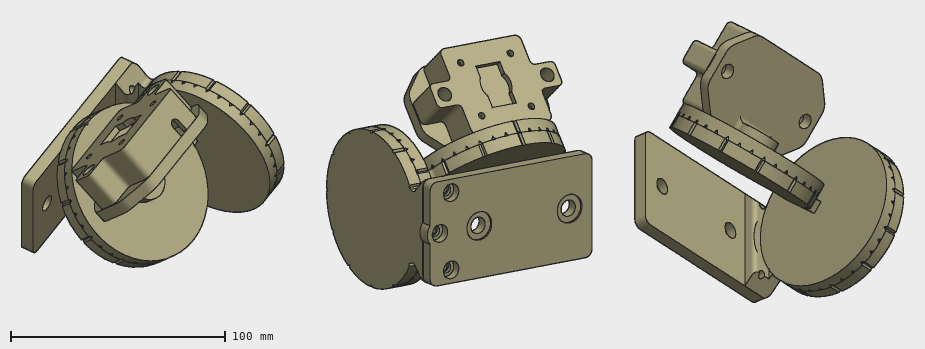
import cadquery as cq
import math


DISC_RADIUS = 38.0
DISC_THICKNESS = 6.4
GROOVE_STEP = 30
GROOVE_WIDTH = 2.0
GROOVE_DEPTH = 0.9
TICK_STEP = 10
TICK_WIDTH = 1.8
TICK_DEPTH = 0.5
TICK_LENGTH = 1.6

SELECT_MARGIN = 1.1

TILT = 40
UPPER_CENTRE = (-10.2, -50.5, 13.2)

PLATE_THICKNESS = 6.4
PLATE_X_BACK = -50.6
PLATE_X_FACE = PLATE_X_BACK + PLATE_THICKNESS
PLATE_HEIGHT = 50.8
PLATE_Y_MAX = 6.7
PLATE_Y_MIN = -83.9
PLATE_CORNER_RADIUS = 3.8
MOUNT_HOLES_Y = (-20.8, -71.3)
MOUNT_HOLE_RADIUS = 3.9
MOUNT_BORE_RADIUS = 6.9
MOUNT_BORE_DEPTH = 1.1

EAR_SCREW = (1.2, 0)
EAR_RADIUS = 7.1
SIDE_SCREWS = ((-5.0, 18.8), (-5.0, -18.8))
SCREW_HEAD_RADIUS = 4.3
SCREW_HEAD_DEPTH = 4.4
SCREW_CLEARANCE_RADIUS = 2.6
SCREW_TAP_RADIUS = 1.9
EAR_TAP_DEPTH = 3.7
DRILL_TIP_ANGLE = 118

FOOT_X_END = -38.0
FOOT_WIDTH_FRONT = 10.2
FOOT_CORNER_RADIUS = 3.1
FOOT_EDGE_RADIUS = 2.3
FOOT_BLEND_RADIUS = 2.5
DISC_CLEARANCE = 1.0
FLANK_OFFSET = PLATE_HEIGHT / 2 + PLATE_X_FACE
FLANK_RIM_X = (FLANK_OFFSET - math.sqrt(2 * DISC_RADIUS**2 - FLANK_OFFSET**2)) / 2

NECK_WIDTH = 22.7
NECK_BLEND_RADIUS = 3.0

HOUSING_FRONT_X = -29.6
HOUSING_BACK_X = -11.1
HOUSING_CENTRE_Y = -3.6
HOUSING_SIZE = 44.9
HOUSING_CENTRE_Z = DISC_THICKNESS + HOUSING_SIZE / 2
HOUSING_LENGTH = HOUSING_BACK_X - HOUSING_FRONT_X
HOUSING_WALL = 3.0
HOUSING_CORNER_RADIUS = 3.0
EARS_SPAN = 69.9
EARS_HEIGHT = 12.6
EARS_CORNER_RADIUS = 2.3
EAR_HOLE_SPACING = 57.4
EAR_HOLE_RADIUS = 3.5
FACE_HOLE_SPACING = 27.8
FACE_HOLE_RADIUS = 1.6
WINDOW_WIDTH = 13.4
WINDOW_HEIGHT = 21.8
WINDOW_ROUND_RADIUS = 8.2
CABLE_SLOT_WIDTH = 4.8
CABLE_SLOT_LENGTH = 8.3
CABLE_SLOT_OFFSET_Y = 9.9
BACK_PLATE_THICKNESS = 6.0
BACK_PLATE_SPAN = 71.0
BACK_PLATE_CHAMFER = 12.2
BACK_PLATE_CORNER_RADIUS = 8.0
BOSS_RADIUS = 10.0
BOSS_HEIGHT = 6.0
BOSS_BLEND_RADIUS = 2.2


def rim_notch(angle, width, depth, z_start, length):
    """V-shaped cutter along Z, of the given width and depth where it crosses the disc rim."""
    outer = DISC_RADIUS + depth
    return (
        cq.Workplane("XY", origin=(0, 0, z_start))
        .polyline([(outer, -width), (outer, width), (DISC_RADIUS - depth, 0)])
        .close()
        .extrude(length)
        .rotate((0, 0, 0), (0, 0, 1), angle)
    )


def rim_tick(angle):
    """Triangular cutter sunk into the rim, with its base on the seam and its tip above."""
    return (
        cq.Workplane("YZ", origin=(DISC_RADIUS - TICK_DEPTH, 0, 0))
        .polyline([(-TICK_WIDTH / 2, 0), (TICK_WIDTH / 2, 0), (0, TICK_LENGTH)])
        .close()
        .extrude(2 * TICK_DEPTH)
        .rotate((0, 0, 0), (0, 0, 1), angle)
    )


def index_disc():
    return cq.Workplane("XY").circle(DISC_RADIUS).extrude(-DISC_THICKNESS)


def cut_index_grooves(body, arm_angle):
    """Groove the rim at every step except where the foot or neck leaves the disc."""
    for angle in range(0, 360, GROOVE_STEP):
        if angle != arm_angle:
            groove = rim_notch(angle, GROOVE_WIDTH, GROOVE_DEPTH, -DISC_THICKNESS, DISC_THICKNESS)
            body = body.cut(groove)
    return body


def scale_disc(pointer_angle):
    body = cq.Workplane("XY").circle(DISC_RADIUS).extrude(DISC_THICKNESS)
    for angle in range(0, 360, TICK_STEP):
        body = body.cut(rim_tick(angle))
    return body.cut(rim_notch(pointer_angle, GROOVE_WIDTH, GROOVE_DEPTH, 0, DISC_THICKNESS))


def place_lower(body):
    """Turn a joint's local frame so that its axis points along -Y."""
    return body.rotate((0, 0, 0), (1, 0, 0), 90)


def place_upper(body):
    return body.rotate((0, 0, 0), (0, 1, 0), TILT).translate(UPPER_CENTRE)


def x_cylinder(x_start, y, z, radius, length):
    return cq.Workplane("YZ", origin=(x_start, y, z)).circle(radius).extrude(length)


def make_plate():
    plate = (
        cq.Workplane("XY")
        .box(PLATE_THICKNESS, PLATE_Y_MAX - PLATE_Y_MIN, PLATE_HEIGHT)
        .edges("|X")
        .fillet(PLATE_CORNER_RADIUS)
        .translate((PLATE_X_BACK + PLATE_THICKNESS / 2, (PLATE_Y_MAX + PLATE_Y_MIN) / 2, 0))
    )
    plate = plate.union(x_cylinder(PLATE_X_BACK, *EAR_SCREW, EAR_RADIUS, PLATE_THICKNESS))
    for y in MOUNT_HOLES_Y:
        plate = plate.cut(x_cylinder(PLATE_X_BACK, y, 0, MOUNT_HOLE_RADIUS, PLATE_THICKNESS))
        plate = plate.cut(x_cylinder(PLATE_X_BACK, y, 0, MOUNT_BORE_RADIUS, MOUNT_BORE_DEPTH))
    for y, z in (EAR_SCREW, *SIDE_SCREWS):
        plate = plate.cut(x_cylinder(PLATE_X_BACK, y, z, SCREW_CLEARANCE_RADIUS, PLATE_THICKNESS))
        plate = plate.cut(x_cylinder(PLATE_X_BACK, y, z, SCREW_HEAD_RADIUS, SCREW_HEAD_DEPTH))
    return plate


def foot_wedge(x_start, x_end, z_end):
    """Wedge around the X axis whose 45 degree flanks start at the plate's long edges."""
    half_start = FLANK_OFFSET - x_start
    half_end = FLANK_OFFSET - x_end
    return (
        cq.Workplane("XY", origin=(0, 0, -DISC_THICKNESS))
        .polyline([(x_start, -half_start), (x_end, -half_end), (x_end, half_end), (x_start, half_start)])
        .close()
        .extrude(z_end + DISC_THICKNESS)
    )


def make_foot():
    """Foot against the plate: rounded back corners and a rounded front edge."""
    length = FOOT_X_END - PLATE_X_FACE
    envelope = (
        cq.Workplane("XY")
        .box(length, PLATE_HEIGHT, DISC_THICKNESS + FOOT_WIDTH_FRONT, centered=(False, True, False))
        .translate((PLATE_X_FACE, 0, -DISC_THICKNESS))
        .edges("|X and <Z")
        .fillet(FOOT_CORNER_RADIUS)
    )
    wedge = foot_wedge(PLATE_X_FACE, FOOT_X_END, FOOT_WIDTH_FRONT)
    return wedge.edges(">X and >Z").fillet(FOOT_EDGE_RADIUS).intersect(envelope)


def ear_tap_hole():
    """Blind hole with a conical drill tip."""
    tip_length = SCREW_TAP_RADIUS / math.tan(math.radians(DRILL_TIP_ANGLE / 2))
    half_section = [
        (0, 0),
        (0, SCREW_TAP_RADIUS),
        (EAR_TAP_DEPTH, SCREW_TAP_RADIUS),
        (EAR_TAP_DEPTH + tip_length, 0),
    ]
    return (
        cq.Workplane("XY", origin=(PLATE_X_FACE, *EAR_SCREW))
        .polyline(half_section)
        .close()
        .revolve(360, (0, 0, 0), (1, 0, 0))
    )


def make_bracket():
    """Lower index disc in one piece with the foot that screws to the plate."""
    web_end = FLANK_RIM_X + FOOT_BLEND_RADIUS
    body = index_disc().union(foot_wedge(FOOT_X_END, web_end, 0))
    near_rim = cq.selectors.BoxSelector(
        (FLANK_RIM_X - SELECT_MARGIN, -DISC_RADIUS, -DISC_THICKNESS),
        (FLANK_RIM_X + SELECT_MARGIN, DISC_RADIUS, 0),
    )
    body = body.edges("|Z").edges(near_rim).fillet(FOOT_BLEND_RADIUS)
    body = cut_index_grooves(body, 180).union(make_foot())
    scale_disc_room = cq.Workplane("XY").circle(DISC_RADIUS + DISC_CLEARANCE).extrude(FOOT_WIDTH_FRONT)
    body = place_lower(body.cut(scale_disc_room))
    for y, z in SIDE_SCREWS:
        body = body.cut(x_cylinder(PLATE_X_FACE, y, z, SCREW_TAP_RADIUS, FOOT_X_END - PLATE_X_FACE))
    return body.cut(ear_tap_hole())


def make_arm():
    """Lower scale disc and upper index disc joined by the neck."""
    neck_length = -UPPER_CENTRE[1] - DISC_THICKNESS
    neck = (
        cq.Workplane("XY")
        .box(NECK_WIDTH, neck_length, DISC_THICKNESS, centered=(True, False, False))
        .translate((0, 0, -DISC_THICKNESS))
    )
    upper = index_disc().union(neck)
    junction_y = math.sqrt(DISC_RADIUS**2 - (NECK_WIDTH / 2) ** 2)
    near_junction = cq.selectors.BoxSelector(
        (-NECK_WIDTH, junction_y - SELECT_MARGIN, -DISC_THICKNESS),
        (NECK_WIDTH, junction_y + SELECT_MARGIN, 0),
    )
    upper = upper.edges("|Z").edges(near_junction).fillet(NECK_BLEND_RADIUS)
    lower = place_lower(scale_disc(180 - TILT))
    return lower.union(place_upper(cut_index_grooves(upper, 90)))


def housing_plane(x):
    """Plane square to the housing axis, local x along Y and local y along Z."""
    return cq.Workplane("YZ", origin=(x, HOUSING_CENTRE_Y, HOUSING_CENTRE_Z))


def ear_holes():
    length = HOUSING_LENGTH + BACK_PLATE_THICKNESS
    return (
        housing_plane(HOUSING_FRONT_X)
        .rarray(EAR_HOLE_SPACING, 1.1, 2, 1)
        .circle(EAR_HOLE_RADIUS)
        .extrude(length)
    )


def make_housing():
    """Open-backed square box with two ears and a windowed front wall."""
    ears = housing_plane(HOUSING_FRONT_X).rect(EARS_SPAN, EARS_HEIGHT).extrude(HOUSING_LENGTH)
    ears = ears.edges("|X").fillet(EARS_CORNER_RADIUS)
    box = housing_plane(HOUSING_FRONT_X).rect(HOUSING_SIZE, HOUSING_SIZE).extrude(HOUSING_LENGTH)
    box = box.edges("|X").fillet(HOUSING_CORNER_RADIUS)
    half_size = HOUSING_SIZE / 2
    near_ear_roots = cq.selectors.BoxSelector(
        (HOUSING_FRONT_X, HOUSING_CENTRE_Y - half_size - SELECT_MARGIN, HOUSING_CENTRE_Z - EARS_HEIGHT),
        (HOUSING_BACK_X, HOUSING_CENTRE_Y + half_size + SELECT_MARGIN, HOUSING_CENTRE_Z + EARS_HEIGHT),
    )
    housing = box.union(ears).edges("|X").edges(near_ear_roots).fillet(EARS_CORNER_RADIUS)

    cavity_size = HOUSING_SIZE - 2 * HOUSING_WALL
    cavity_depth = HOUSING_LENGTH - HOUSING_WALL
    housing = housing.cut(housing_plane(HOUSING_BACK_X).rect(cavity_size, cavity_size).extrude(-cavity_depth))

    front = housing_plane(HOUSING_FRONT_X)
    window = front.rect(WINDOW_WIDTH, WINDOW_HEIGHT).extrude(HOUSING_WALL)
    window = window.union(front.circle(WINDOW_ROUND_RADIUS).extrude(HOUSING_WALL))
    screw_holes = (
        front.rarray(FACE_HOLE_SPACING, FACE_HOLE_SPACING, 2, 2)
        .circle(FACE_HOLE_RADIUS)
        .extrude(HOUSING_WALL)
    )
    return housing.cut(window).cut(screw_holes).cut(ear_holes()).cut(cable_slot())


def cable_slot():
    """Round-ended slot in the top wall, open towards the back plate."""
    wall_base = HOUSING_CENTRE_Z + HOUSING_SIZE / 2 - HOUSING_WALL
    return (
        cq.Workplane("XY", origin=(HOUSING_BACK_X, HOUSING_CENTRE_Y + CABLE_SLOT_OFFSET_Y, wall_base))
        .slot2D(2 * CABLE_SLOT_LENGTH, CABLE_SLOT_WIDTH)
        .extrude(HOUSING_WALL)
    )


def make_holder():
    """Upper scale disc with the boss and the back plate that carries the housing."""
    plate = (
        housing_plane(HOUSING_BACK_X)
        .rect(BACK_PLATE_SPAN, HOUSING_SIZE)
        .extrude(BACK_PLATE_THICKNESS)
        .edges("|X")
        .chamfer(BACK_PLATE_CHAMFER)
        .edges("|X")
        .fillet(BACK_PLATE_CORNER_RADIUS)
    )
    plate = plate.cut(ear_holes())
    plate_back_x = HOUSING_BACK_X + BACK_PLATE_THICKNESS
    boss = cq.Workplane("XY", origin=(0, 0, DISC_THICKNESS)).circle(BOSS_RADIUS).extrude(BOSS_HEIGHT)
    behind_plate = (
        cq.Workplane("XY", origin=(plate_back_x, 0, DISC_THICKNESS))
        .rect(2 * BOSS_RADIUS, 2 * BOSS_RADIUS)
        .extrude(BOSS_HEIGHT)
        .translate((BOSS_RADIUS, 0, 0))
    )
    carrier = plate.union(boss.intersect(behind_plate))
    boss_root = cq.selectors.BoxSelector(
        (plate_back_x - SELECT_MARGIN, -BOSS_RADIUS, DISC_THICKNESS + SELECT_MARGIN),
        (plate_back_x + SELECT_MARGIN, BOSS_RADIUS, DISC_THICKNESS + BOSS_HEIGHT + SELECT_MARGIN),
    )
    carrier = carrier.edges(boss_root).fillet(BOSS_BLEND_RADIUS)
    return scale_disc(180).union(carrier)


plate = make_plate()
bracket = make_bracket()
arm = make_arm()
holder = place_upper(make_holder())
housing = place_upper(make_housing())

result = cq.Compound.makeCompound([plate.val(), bracket.val(), arm.val(), holder.val(), housing.val()])